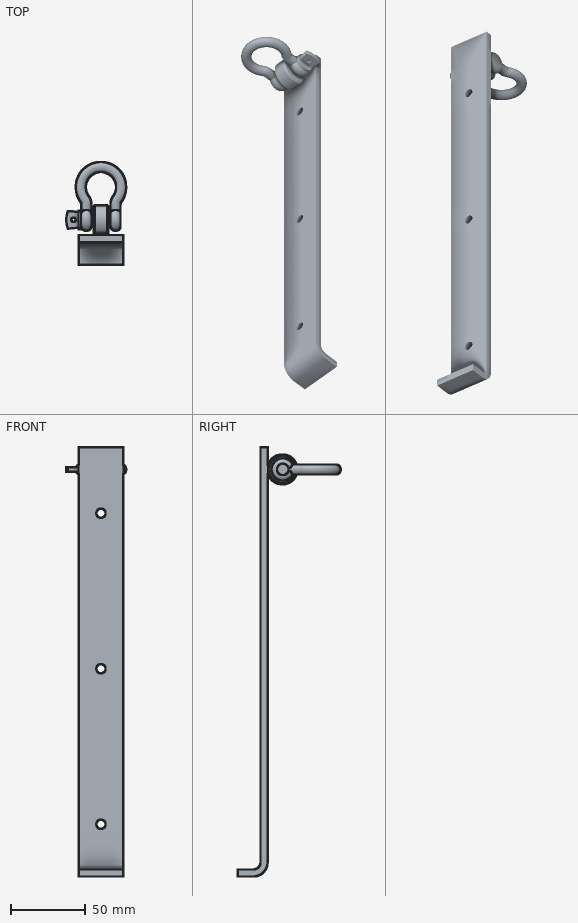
import cadquery as cq
import math

strip_height = 290.0
strip_width = 30.2
strip_thickness = 5.0
foot_reach = 20.3
bend_inner_radius = 5.0
bend_outer_radius = bend_inner_radius + strip_thickness
hole_diameter = 6.0
hole_spacing = 105.0
lowest_hole_z = 35.5
hole_count = 3

axis_y = 10.2
axis_z = 275.0
pin_diameter = 7.8

lug_radius = 10.2
lug_width = 10.0
lug_chamfer = 1.0
lug_flat_depth = 0.3
lug_axis_y = lug_radius - lug_flat_depth

rod_radius = 3.5
bow_radius = 13.5
bow_center_y = 32.2
leg_x = 10.0
leg_top_y = 21.0
eye_radius = 7.5

flange_radius = 6.5
flange_thickness = 1.7
tab_thickness = 3.2
tab_root_width = 10.7
tab_tip_width = 12.2
tab_corner_reach = 7.2
tab_tip_reach = 8.5
tab_hole_diameter = 3.0
tab_hole_reach = 3.5


def axial_cylinder(radius, x_start, length, center_y=axis_y):
    """Cylinder along +X at the height of the pin axis."""
    start = cq.Vector(x_start, center_y, axis_z)
    return cq.Workplane(cq.Solid.makeCylinder(radius, length, start, cq.Vector(1, 0, 0)))


def make_strip():
    profile = (
        cq.Workplane("YZ", origin=(-strip_width / 2, 0, 0))
        .moveTo(0, strip_height)
        .lineTo(0, bend_outer_radius)
        .radiusArc((-bend_outer_radius, 0), bend_outer_radius)
        .lineTo(-foot_reach, 0)
        .lineTo(-foot_reach, strip_thickness)
        .lineTo(-bend_outer_radius, strip_thickness)
        .radiusArc((-strip_thickness, bend_outer_radius), -bend_inner_radius)
        .lineTo(-strip_thickness, strip_height)
        .close()
    )
    strip = profile.extrude(strip_width)
    hole_points = [(0, lowest_hole_z + i * hole_spacing) for i in range(hole_count)]
    holes = (
        cq.Workplane("XZ").pushPoints(hole_points)
        .circle(hole_diameter / 2).extrude(strip_thickness)
    )
    return strip.cut(holes)


def make_lug():
    lug = axial_cylinder(lug_radius, -lug_width / 2, lug_width, lug_axis_y)
    lug = lug.edges("%CIRCLE").chamfer(lug_chamfer)
    seat = cq.Workplane("XY").box(
        lug_width, lug_radius, 2 * lug_radius
    ).translate((0, -lug_radius / 2, axis_z))
    bore = axial_cylinder(pin_diameter / 2, -lug_width / 2, lug_width)
    return lug.cut(seat).cut(bore)


def make_bow_rod():
    """Rod running up one leg, around the bow and down the other leg."""
    drop = bow_center_y - leg_top_y
    neck_radius = (leg_x**2 + drop**2 - bow_radius**2) / (2 * (bow_radius - leg_x))
    neck_center_x = leg_x + neck_radius
    neck_angle = math.atan2(drop, neck_center_x)
    join_x = bow_radius * math.cos(neck_angle)
    join_y = bow_center_y - bow_radius * math.sin(neck_angle)
    neck_mid_x = neck_center_x - neck_radius * math.cos(neck_angle / 2)
    neck_mid_y = leg_top_y + neck_radius * math.sin(neck_angle / 2)
    path = (
        cq.Workplane("XY", origin=(0, 0, axis_z))
        .moveTo(-leg_x, axis_y)
        .lineTo(-leg_x, leg_top_y)
        .threePointArc((-neck_mid_x, neck_mid_y), (-join_x, join_y))
        .threePointArc((0, bow_center_y + bow_radius), (join_x, join_y))
        .threePointArc((neck_mid_x, neck_mid_y), (leg_x, leg_top_y))
        .lineTo(leg_x, axis_y)
    )
    section = cq.Workplane("XZ", origin=(-leg_x, axis_y, axis_z)).circle(rod_radius)
    return section.sweep(path)


def make_eye(center_x):
    """Round eye with a fully rounded rim."""
    flat_radius = eye_radius - rod_radius
    return (
        cq.Workplane("XY", origin=(center_x, axis_y, axis_z))
        .moveTo(-rod_radius, 0)
        .lineTo(-rod_radius, flat_radius)
        .threePointArc((0, eye_radius), (rod_radius, flat_radius))
        .lineTo(rod_radius, 0)
        .close()
        .revolve(360, (0, 0, 0), (1, 0, 0))
    )


def make_shackle():
    shackle = make_bow_rod()
    for side in (-1, 1):
        shackle = shackle.union(make_eye(side * leg_x))
    outer_x = leg_x + rod_radius
    bore = axial_cylinder(pin_diameter / 2, -outer_x, 2 * outer_x)
    flange_seat = axial_cylinder(flange_radius, -outer_x - flange_thickness, flange_thickness)
    return shackle.cut(bore).cut(flange_seat)


def make_pin():
    outer_x = leg_x + rod_radius
    flange_x = -outer_x - flange_thickness
    shank = axial_cylinder(pin_diameter / 2, -outer_x, 2 * outer_x)
    flange = axial_cylinder(flange_radius, flange_x, flange_thickness)
    tab = (
        cq.Workplane("XY", origin=(flange_x, axis_y, axis_z - tab_thickness / 2))
        .moveTo(0, -tab_root_width / 2)
        .lineTo(0, tab_root_width / 2)
        .lineTo(-tab_corner_reach, tab_tip_width / 2)
        .threePointArc((-tab_tip_reach, 0), (-tab_corner_reach, -tab_tip_width / 2))
        .close()
        .extrude(tab_thickness)
    )
    tab_hole = (
        cq.Workplane("XY", origin=(flange_x, axis_y, axis_z - tab_thickness / 2))
        .center(-tab_hole_reach, 0)
        .circle(tab_hole_diameter / 2)
        .extrude(tab_thickness)
    )
    return shank.union(flange).union(tab.cut(tab_hole))


strip = make_strip().solids()
lug = make_lug().solids()
shackle = make_shackle().solids()
pin = make_pin().solids()

result = cq.Compound.makeCompound([strip.val(), lug.val(), shackle.val(), pin.val()])